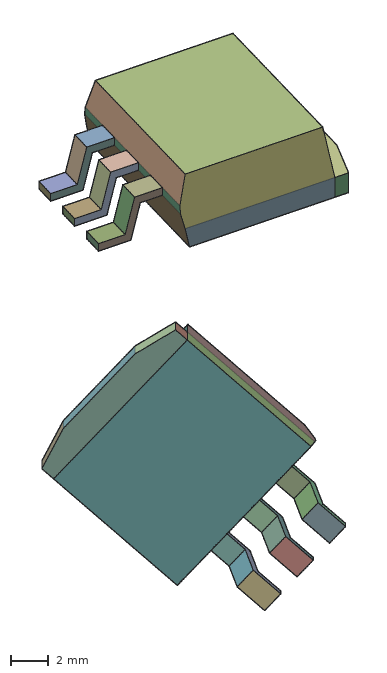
import cadquery as cq

total_length = 14.72
body_width = 10.5
body_height = 4.5

tab_length = 1.52
tab_height = 1.31
tab_end_width = 5.62
tab_taper_length = 0.68

lead_count = 3
lead_pitch = 2.55
lead_width = 1.27
lead_thickness = 0.5
lead_reach = 3.89
lead_top = 2.75
shoulder_length = 1.7
foot_length = 1.62
leg_inner_shift = 0.35

wall_draft = 0.47

lead_bottom = lead_top - lead_thickness
body_front = lead_reach
body_back = total_length - tab_length


def make_body():
    """Moulded block with drafted walls and a flat parting band at lead height."""
    side_profile = [
        (body_front + wall_draft, 0),
        (body_front, lead_bottom),
        (body_front, lead_top),
        (body_front + wall_draft, body_height),
        (body_back - wall_draft, body_height),
        (body_back, tab_height),
        (body_back, 0),
    ]
    half_width = body_width / 2
    half_top = half_width - wall_draft
    front_profile = [
        (-half_width, 0),
        (half_width, 0),
        (half_width, tab_height),
        (half_top, body_height),
        (-half_top, body_height),
        (-half_width, tab_height),
    ]
    lengthwise = cq.Workplane("YZ").polyline(side_profile).close().extrude(half_width, both=True)
    crosswise = cq.Workplane("XZ").polyline(front_profile).close().extrude(-total_length)
    return lengthwise.intersect(crosswise)


def make_tab():
    """Flat plate behind the body, with its far corners cut off."""
    half_width = body_width / 2
    half_end = tab_end_width / 2
    taper_start = total_length - tab_taper_length
    outline = [
        (-half_width, body_back),
        (half_width, body_back),
        (half_width, taper_start),
        (half_end, total_length),
        (-half_end, total_length),
        (-half_width, taper_start),
    ]
    return cq.Workplane("XY").polyline(outline).close().extrude(tab_height)


def make_lead(center_x):
    """Gull-wing lead that starts flush on the body's front face."""
    shoulder_end = body_front - shoulder_length
    profile = [
        (body_front, lead_top),
        (shoulder_end, lead_top),
        (foot_length, lead_thickness),
        (0, lead_thickness),
        (0, 0),
        (foot_length + leg_inner_shift, 0),
        (shoulder_end + leg_inner_shift, lead_bottom),
        (body_front, lead_bottom),
    ]
    lead = cq.Workplane("YZ").polyline(profile).close().extrude(lead_width / 2, both=True)
    return lead.translate((center_x, 0, 0))


body = make_body()
tab = make_tab()
leads = []
for index in range(lead_count):
    lead_x = (index - (lead_count - 1) / 2) * lead_pitch
    leads.append(make_lead(lead_x))

result = cq.Compound.makeCompound([body.val(), tab.val(), *[lead.val() for lead in leads]])